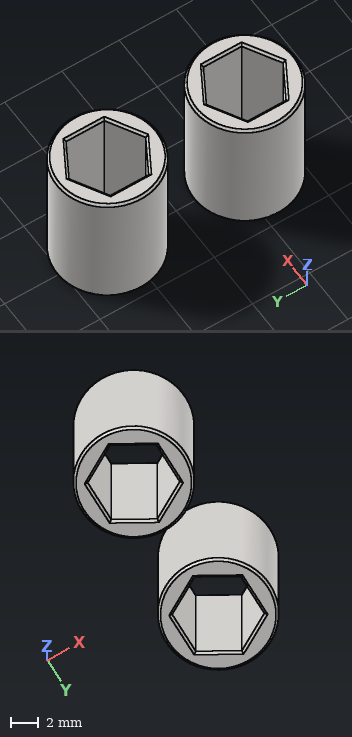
import cadquery as cq
import math

outer_diameter = 8.8
height = 11.4
overall_length = 20.8
hex_across_flats = 5.8
edge_chamfer = 0.2
chamfer_angle = 45.0

socket_spacing = overall_length - outer_diameter
hex_across_corners = hex_across_flats / math.cos(math.pi / 6)
mouth_across_corners = (hex_across_flats + 2 * edge_chamfer) / math.cos(math.pi / 6)


def hexagon(across_corners):
    """Hexagon at Z = 0 with two corners on the Y axis."""
    return cq.Workplane("XY").transformed(rotate=(0, 0, 90)).polygon(6, across_corners)


def make_socket(center_y):
    """Plain sleeve standing on Z = 0, with a hexagonal through bore."""
    sleeve = cq.Workplane("XY").circle(outer_diameter / 2).extrude(height)
    sleeve = sleeve.faces("<Z or >Z").edges().chamfer(edge_chamfer)

    bore = hexagon(hex_across_corners).extrude(height)
    bottom_mouth = hexagon(mouth_across_corners).extrude(edge_chamfer, taper=chamfer_angle)
    top_mouth = bottom_mouth.mirror("XY", (0, 0, height / 2))
    sleeve = sleeve.cut(bore).cut(bottom_mouth).cut(top_mouth)

    return sleeve.translate((0, center_y, 0)).val()


sockets = []
for side in (-1, 1):
    sockets.append(make_socket(side * socket_spacing / 2))

result = cq.Compound.makeCompound([*sockets])